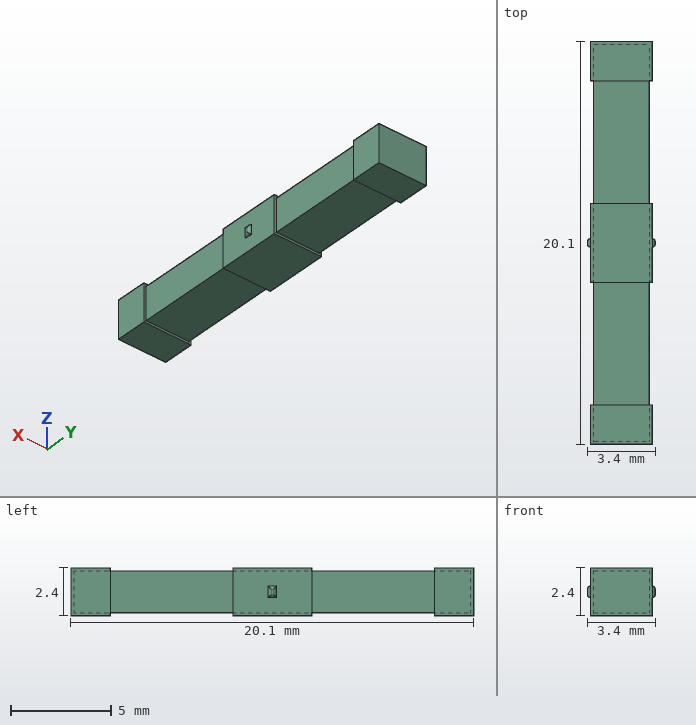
import cadquery as cq

total_length = 20.1
sleeve_width = 3.1
sleeve_height = 2.4
wall = 0.15
band_length = 3.95
cap_length = 1.97

core_width = sleeve_width - 2 * wall
core_height = sleeve_height - 2 * wall
core_length = total_length - 2 * wall

overall_width = 3.4
bump_length = 0.42
bump_height = 0.58
bump_rounding = 0.16


def make_core():
    """Plain bar running the full length inside the caps and the band."""
    return cq.Workplane("XY").box(core_width, core_length, core_height)


def make_bumps():
    """Block through the band whose rounded ends stand out as a bump on each X side."""
    block = cq.Workplane("XY").box(overall_width, bump_length, bump_height)
    return block.faces("<X or >X").edges().fillet(bump_rounding)


def make_band(core):
    """Middle sleeve around the core, with a bump on each X side."""
    sleeve = cq.Workplane("XY").box(sleeve_width, band_length, sleeve_height)
    return sleeve.union(make_bumps()).cut(core)


def make_cap(core, side):
    """Closed cap over one end of the core; side is -1 or +1 along Y."""
    centre_y = side * (total_length - cap_length) / 2
    block = cq.Workplane("XY").box(sleeve_width, cap_length, sleeve_height)
    return block.translate((0, centre_y, 0)).cut(core)


core = make_core()
band = make_band(core)
caps = [make_cap(core, side) for side in (-1, 1)]

result = cq.Compound.makeCompound([core.val(), band.val(), *[cap.val() for cap in caps]])